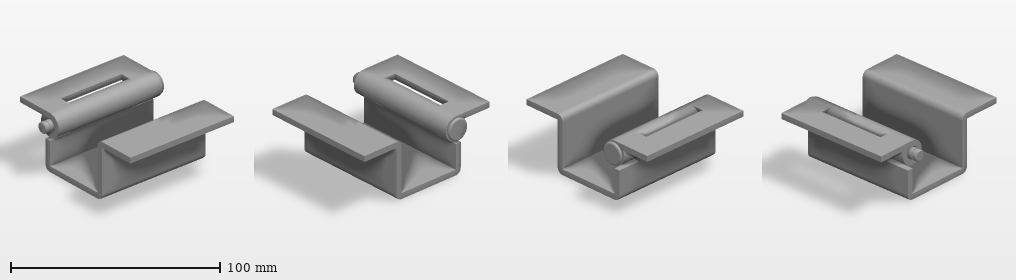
import cadquery as cq

total_length = 81.5
total_height = 32.0
sheet_width = 64.95
thickness = 3.2
bend_radius = thickness

barrel_radius = 6.5
bore_radius = barrel_radius - thickness
axis_x = 22.0
axis_z = total_height - barrel_radius
end_knuckle_width = 13.45
middle_knuckle_width = sheet_width - 2 * end_knuckle_width
leaf_notch_edge = 14.2

channel_left = axis_x - thickness
channel_right = 60.55
relief_depth = 15.0
relief_top_z = total_height - relief_depth

pin_radius = 3.0
pin_protrusion = 5.0
pin_chamfer = 0.5
groove_radius = 2.7
groove_start = 2.2
groove_width = 0.6
head_radius = 6.0
head_thickness = 2.0
head_rounding = head_thickness / 2

half_width = sheet_width / 2


def box(x_min, x_max, y_width, z_min, z_max):
    """Box centred on Y = 0 between the given X and Z limits."""
    return cq.Workplane("XY").box(
        x_max - x_min, y_width, z_max - z_min, centered=(False, True, False)
    ).translate((x_min, 0, z_min))


def hinge_cylinder(radius, width):
    """Cylinder on the hinge axis, centred on Y = 0."""
    return (
        cq.Workplane("XZ").center(axis_x, axis_z).circle(radius).extrude(width / 2, both=True)
    )


def make_leaf():
    """Flat leaf whose two end knuckles leave a notch for the bracket knuckle."""
    plate = box(0, axis_x, sheet_width, total_height - thickness, total_height)
    knuckles = hinge_cylinder(barrel_radius, sheet_width)
    notch = box(
        leaf_notch_edge, axis_x + barrel_radius, middle_knuckle_width,
        axis_z - barrel_radius, total_height,
    )
    return plate.union(knuckles).cut(notch).cut(hinge_cylinder(bore_radius, sheet_width))


def channel_profile():
    """Folded sheet: left wall, floor, right wall and outward flange, with rounded outer bends."""
    return (
        cq.Workplane("XZ", origin=(0, half_width, 0))
        .moveTo(channel_left, axis_z)
        .lineTo(channel_left, bend_radius)
        .radiusArc((channel_left + bend_radius, 0), -bend_radius)
        .lineTo(channel_right - bend_radius, 0)
        .radiusArc((channel_right, bend_radius), -bend_radius)
        .lineTo(channel_right, total_height - thickness)
        .lineTo(total_length, total_height - thickness)
        .lineTo(total_length, total_height)
        .lineTo(channel_right - thickness + bend_radius, total_height)
        .radiusArc((channel_right - thickness, total_height - bend_radius), -bend_radius)
        .lineTo(channel_right - thickness, thickness)
        .lineTo(channel_left + thickness, thickness)
        .lineTo(channel_left + thickness, axis_z)
        .close()
    )


def make_bracket():
    """Folded channel with a middle knuckle and reliefs below the leaf knuckles."""
    channel = channel_profile().extrude(sheet_width)
    wall_end = box(channel_left, axis_x, sheet_width, relief_top_z, axis_z)
    middle_wall = box(channel_left, axis_x, middle_knuckle_width, relief_top_z, axis_z)
    reliefs = wall_end.cut(middle_wall)
    knuckle = hinge_cylinder(barrel_radius, middle_knuckle_width)
    bore = hinge_cylinder(bore_radius, sheet_width)
    return channel.cut(reliefs).union(knuckle).cut(bore)


def make_pin():
    """Pin with a fully rounded head rim, a retaining groove and a chamfered tip."""
    tip_y = -half_width - pin_protrusion
    head_y = half_width
    end_y = head_y + head_thickness
    groove_near_y = -half_width - groove_start
    groove_far_y = groove_near_y - groove_width
    profile = (
        cq.Workplane("XY", origin=(axis_x, 0, axis_z))
        .moveTo(0, tip_y)
        .lineTo(pin_radius - pin_chamfer, tip_y)
        .lineTo(pin_radius, tip_y + pin_chamfer)
        .lineTo(pin_radius, groove_far_y)
        .lineTo(groove_radius, groove_far_y)
        .lineTo(groove_radius, groove_near_y)
        .lineTo(pin_radius, groove_near_y)
        .lineTo(pin_radius, head_y)
        .lineTo(head_radius - head_rounding, head_y)
        .threePointArc((head_radius, head_y + head_rounding), (head_radius - head_rounding, end_y))
        .lineTo(0, end_y)
        .close()
    )
    return profile.revolve(360, (0, 0, 0), (0, 1, 0))


leaf = make_leaf()
bracket = make_bracket()
pin = make_pin()

result = cq.Compound.makeCompound([leaf.val(), bracket.val(), pin.val()])